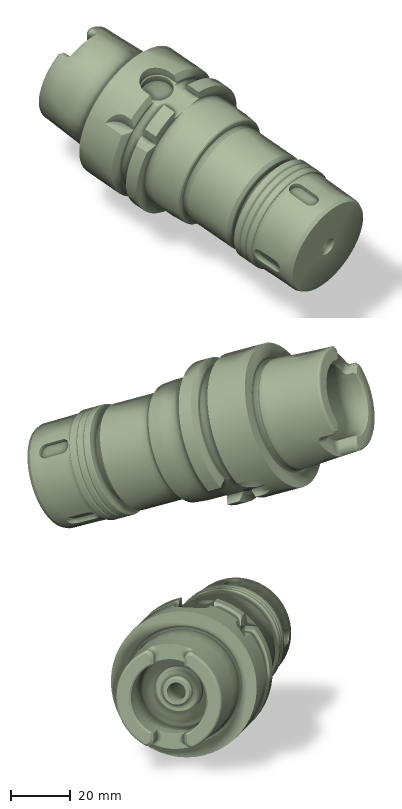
import cadquery as cq
import math


SHANK_LENGTH = 25.0
TAPER_LARGE_RADIUS = 19.2
TAPER_END_X = -2.1
TAPER_SLOPE = 1 / 20
RELIEF_RADIUS = 18.8
RELIEF_START_X = -1.4
FACE_GROOVE_FILLET = 0.8
FACE_GROOVE_DEPTH = 0.4
FACE_GROOVE_RADIUS = 20.3
NOSE_ROUND = 0.8

BORE_RADIUS = 13.0
BORE_MOUTH_RADIUS = 13.5
CAVITY_DEPTH = 18.8
FLOOR_FILLET = 1.4

SEAT_RADIUS = 8.0
SEAT_HEIGHT = 3.0
SEAT_CHAMFER = 0.8
TUBE_RADIUS = 5.0
TUBE_HEIGHT = 6.0
TUBE_CHAMFER = 0.6
TUBE_CHAMFER_LENGTH = 1.2
COOLANT_RADIUS = 3.2

DRIVE_SLOT_HALF_WIDTH = 5.3
DRIVE_FLARE_START = 14.0
DRIVE_FLARE_RADIUS = 2.5
DRIVE_SLOT_FILLET = 1.5
TOP_DRIVE_DEPTH = 4.3
BOTTOM_DRIVE_DEPTH = 7.3
DRIVE_SLOT_CHAMFER = 1.0

FLANGE_RADIUS = 25.0
FLANGE_WIDTH = 26.0
GRIP_CENTER_X = 17.95
GRIP_RADIUS = 21.5
GRIP_STEP_RADIUS = 22.7
GRIP_FLOOR_WIDTH = 3.8
GRIP_FLANK_ANGLE = math.radians(30)

KEYWAY_RADIUS = 6.0
KEYWAY_END_X = 12.7
KEYWAY_FLOOR = 21.0
SOCKET_RADIUS = 5.5
SOCKET_FLOOR = 18.4
NOTCH_OFFSET = 15.35

BODY_RADIUS = 21.0
BODY_TAPER_X = 36.0
BODY_END_X = 41.0
BODY_END_RADIUS = 20.6
BODY_CHAMFER = 0.4
SHAFT_RELIEF_RADIUS = 18.2
SHAFT_STEP_X = 42.5
SHAFT_START_X = 43.2
SHAFT_RADIUS = 18.5
SHAFT_END_X = 62.0
SHAFT_CHAMFER = 1.1
NECK_RADIUS = 15.0

NUT_START_X = 64.6
COLLAR_RADIUS = 19.2
COLLAR_LENGTH = 8.1
COLLAR_CHAMFER = 0.3
COLLAR_GROOVE_DEPTH = 0.5
COLLAR_GROOVE_PITCH = 2.65
NUT_RADIUS = 18.5
NUT_TIP_RADIUS = 18.2
NUT_CHAMFER_LENGTH = 1.4
NUT_CHAMFER_DEPTH = 0.6
NUT_END_X = 90.0
WRENCH_SLOT_CENTER_X = 79.15
WRENCH_SLOT_LENGTH = 11.7
WRENCH_SLOT_WIDTH = 5.3
WRENCH_SLOT_FLOOR = 16.3
WRENCH_SLOT_COUNT = 4

OVERCUT = 5.0
ARC_INSET = 1 - math.sqrt(0.5)


def turned(profile):
    """Revolve an X / radius profile about the X axis."""
    return profile.revolve(360, (0, 0, 0), (1, 0, 0))


def holder_blank():
    nose_radius = TAPER_LARGE_RADIUS - TAPER_SLOPE * (SHANK_LENGTH - NOSE_ROUND + TAPER_END_X)
    half_floor = GRIP_FLOOR_WIDTH / 2
    half_mouth = half_floor + (FLANGE_RADIUS - GRIP_STEP_RADIUS) * math.tan(GRIP_FLANK_ANGLE)
    groove_start_x = FACE_GROOVE_DEPTH - FACE_GROOVE_FILLET
    groove_floor_radius = RELIEF_RADIUS + FACE_GROOVE_FILLET
    groove_inset = FACE_GROOVE_FILLET * ARC_INSET
    profile = (
        cq.Workplane("XY")
        .moveTo(-SHANK_LENGTH, 0)
        .lineTo(-SHANK_LENGTH, nose_radius - NOSE_ROUND)
        .threePointArc(
            (-SHANK_LENGTH + NOSE_ROUND * ARC_INSET, nose_radius - NOSE_ROUND * ARC_INSET),
            (-SHANK_LENGTH + NOSE_ROUND, nose_radius),
        )
        .lineTo(TAPER_END_X, TAPER_LARGE_RADIUS)
        .lineTo(RELIEF_START_X, RELIEF_RADIUS)
        .lineTo(groove_start_x, RELIEF_RADIUS)
        .threePointArc(
            (FACE_GROOVE_DEPTH - groove_inset, RELIEF_RADIUS + groove_inset),
            (FACE_GROOVE_DEPTH, groove_floor_radius),
        )
        .lineTo(0, FACE_GROOVE_RADIUS)
        .lineTo(0, FLANGE_RADIUS)
        .lineTo(GRIP_CENTER_X - half_mouth, FLANGE_RADIUS)
        .lineTo(GRIP_CENTER_X - half_floor, GRIP_STEP_RADIUS)
        .lineTo(GRIP_CENTER_X - half_floor, GRIP_RADIUS)
        .lineTo(GRIP_CENTER_X + half_floor, GRIP_RADIUS)
        .lineTo(GRIP_CENTER_X + half_floor, GRIP_STEP_RADIUS)
        .lineTo(GRIP_CENTER_X + half_mouth, FLANGE_RADIUS)
        .lineTo(FLANGE_WIDTH, FLANGE_RADIUS)
        .lineTo(FLANGE_WIDTH, BODY_RADIUS)
        .lineTo(BODY_TAPER_X, BODY_RADIUS)
        .lineTo(BODY_END_X - BODY_CHAMFER, BODY_END_RADIUS)
        .lineTo(BODY_END_X, BODY_END_RADIUS - BODY_CHAMFER)
        .lineTo(BODY_END_X, SHAFT_RELIEF_RADIUS)
        .lineTo(SHAFT_STEP_X, SHAFT_RELIEF_RADIUS)
        .lineTo(SHAFT_START_X, SHAFT_RADIUS)
        .lineTo(SHAFT_END_X - SHAFT_CHAMFER, SHAFT_RADIUS)
        .lineTo(SHAFT_END_X, SHAFT_RADIUS - SHAFT_CHAMFER)
        .lineTo(SHAFT_END_X, NECK_RADIUS)
        .lineTo(NUT_START_X, NECK_RADIUS)
        .lineTo(NUT_START_X, 0)
        .close()
    )
    return turned(profile)


def clamping_nut():
    collar_end = NUT_START_X + COLLAR_LENGTH
    profile = (
        cq.Workplane("XY")
        .moveTo(NUT_START_X, 0)
        .lineTo(NUT_START_X, COLLAR_RADIUS - COLLAR_CHAMFER)
        .lineTo(NUT_START_X + COLLAR_CHAMFER, COLLAR_RADIUS)
    )
    collar_middle = NUT_START_X + COLLAR_LENGTH / 2
    for side in (-1, 1):
        groove_x = collar_middle + side * COLLAR_GROOVE_PITCH / 2
        profile = (
            profile
            .lineTo(groove_x - COLLAR_GROOVE_DEPTH, COLLAR_RADIUS)
            .lineTo(groove_x, COLLAR_RADIUS - COLLAR_GROOVE_DEPTH)
            .lineTo(groove_x + COLLAR_GROOVE_DEPTH, COLLAR_RADIUS)
        )
    profile = (
        profile
        .lineTo(collar_end - COLLAR_CHAMFER, COLLAR_RADIUS)
        .lineTo(collar_end, COLLAR_RADIUS - COLLAR_CHAMFER)
        .lineTo(collar_end, NUT_RADIUS)
        .lineTo(NUT_END_X - NUT_CHAMFER_LENGTH, NUT_TIP_RADIUS)
        .lineTo(NUT_END_X, NUT_TIP_RADIUS - NUT_CHAMFER_DEPTH)
        .lineTo(NUT_END_X, 0)
        .close()
    )
    nut = turned(profile)
    for index in range(WRENCH_SLOT_COUNT):
        slot = (
            cq.Workplane("XY", origin=(WRENCH_SLOT_CENTER_X, 0, WRENCH_SLOT_FLOOR))
            .slot2D(WRENCH_SLOT_LENGTH, WRENCH_SLOT_WIDTH)
            .extrude(OVERCUT)
            .rotate((0, 0, 0), (1, 0, 0), index * 360 / WRENCH_SLOT_COUNT)
        )
        nut = nut.cut(slot)
    return nut


def drive_slot_section(plane, growth=0.0):
    """Cross-section of the upper drive slot, with every side pushed outward by growth."""
    wall_y = DRIVE_SLOT_HALF_WIDTH + growth
    radius = DRIVE_FLARE_RADIUS - growth
    flare_y = wall_y + radius
    flare_z = DRIVE_FLARE_START + radius
    middle_y = wall_y + radius * ARC_INSET
    middle_z = flare_z - radius * ARC_INSET
    outer_y = flare_y + OVERCUT
    outer_z = flare_z + OVERCUT
    return (
        plane
        .moveTo(-wall_y, 0)
        .lineTo(wall_y, 0)
        .lineTo(wall_y, DRIVE_FLARE_START)
        .threePointArc((middle_y, middle_z), (flare_y, flare_z))
        .lineTo(outer_y, flare_z)
        .lineTo(outer_y, outer_z)
        .lineTo(-outer_y, outer_z)
        .lineTo(-outer_y, flare_z)
        .lineTo(-flare_y, flare_z)
        .threePointArc((-middle_y, middle_z), (-wall_y, DRIVE_FLARE_START))
        .close()
    )


def drive_slot(depth):
    """Cutter for the upper drive slot: rounded floor edges and a chamfered mouth."""
    mouth_plane = cq.Workplane("YZ", origin=(-SHANK_LENGTH, 0, 0))
    slot = drive_slot_section(mouth_plane).extrude(depth)
    wall_edges = slot.faces(">X").edges("(not <Z) and (not >Z) and (not <Y) and (not >Y)")
    slot = wall_edges.fillet(DRIVE_SLOT_FILLET)
    mouth = drive_slot_section(mouth_plane, DRIVE_SLOT_CHAMFER).workplane(offset=DRIVE_SLOT_CHAMFER)
    mouth = drive_slot_section(mouth).loft(ruled=True)
    return slot.union(mouth)


def shank_cavity():
    """Stepped bore of the shank, with the coolant tube and its seat left standing."""
    floor_x = CAVITY_DEPTH - SHANK_LENGTH
    mouth_depth = BORE_MOUTH_RADIUS - BORE_RADIUS
    floor_inset = FLOOR_FILLET * ARC_INSET
    seat_x = floor_x - SEAT_HEIGHT
    tube_x = floor_x - TUBE_HEIGHT
    profile = (
        cq.Workplane("XY")
        .moveTo(-SHANK_LENGTH, 0)
        .lineTo(-SHANK_LENGTH, BORE_MOUTH_RADIUS)
        .lineTo(-SHANK_LENGTH + mouth_depth, BORE_RADIUS)
        .lineTo(floor_x - FLOOR_FILLET, BORE_RADIUS)
        .threePointArc(
            (floor_x - floor_inset, BORE_RADIUS - floor_inset),
            (floor_x, BORE_RADIUS - FLOOR_FILLET),
        )
        .lineTo(floor_x, SEAT_RADIUS)
        .lineTo(seat_x + SEAT_CHAMFER, SEAT_RADIUS)
        .lineTo(seat_x, SEAT_RADIUS - SEAT_CHAMFER)
        .lineTo(seat_x, TUBE_RADIUS)
        .lineTo(tube_x + TUBE_CHAMFER_LENGTH, TUBE_RADIUS)
        .lineTo(tube_x, TUBE_RADIUS - TUBE_CHAMFER)
        .lineTo(tube_x, 0)
        .close()
    )
    return turned(profile)


def keyway():
    """Cutter for the upper flange keyway with the round socket sunk at its closed end."""
    length = FLANGE_WIDTH - KEYWAY_END_X
    height = FLANGE_RADIUS - KEYWAY_FLOOR + OVERCUT
    plane = cq.Workplane("XY", origin=(KEYWAY_END_X, 0, KEYWAY_FLOOR))
    channel = plane.center(length / 2, 0).rect(length, 2 * KEYWAY_RADIUS).extrude(height)
    round_end = plane.circle(KEYWAY_RADIUS).extrude(height)
    socket = plane.circle(SOCKET_RADIUS).extrude(SOCKET_FLOOR - KEYWAY_FLOOR)
    return channel.union(round_end).union(socket)


def orientation_notch():
    """Cutter for the corner notch on the -Y, +Z side, rounded at its closed end."""
    length = FLANGE_WIDTH - KEYWAY_END_X
    plane = cq.Workplane("XY", origin=(KEYWAY_END_X, -NOTCH_OFFSET - KEYWAY_RADIUS, NOTCH_OFFSET))
    channel = plane.center(length / 2, 0).rect(length, 2 * KEYWAY_RADIUS).extrude(FLANGE_RADIUS)
    return channel.union(plane.circle(KEYWAY_RADIUS).extrude(FLANGE_RADIUS))


def flipped(cutter):
    """Turn a cutter half a turn about the X axis."""
    return cutter.rotate((0, 0, 0), (1, 0, 0), 180)


holder = holder_blank()
holder = holder.cut(drive_slot(TOP_DRIVE_DEPTH))
holder = holder.cut(flipped(drive_slot(BOTTOM_DRIVE_DEPTH)))
holder = holder.cut(shank_cavity())
holder = holder.cut(keyway())
holder = holder.cut(flipped(keyway()))
holder = holder.cut(orientation_notch())

coolant_hole = (
    cq.Workplane("YZ", origin=(-SHANK_LENGTH, 0, 0))
    .circle(COOLANT_RADIUS)
    .extrude(SHANK_LENGTH + NUT_END_X)
)

result = holder.union(clamping_nut()).cut(coolant_hole)